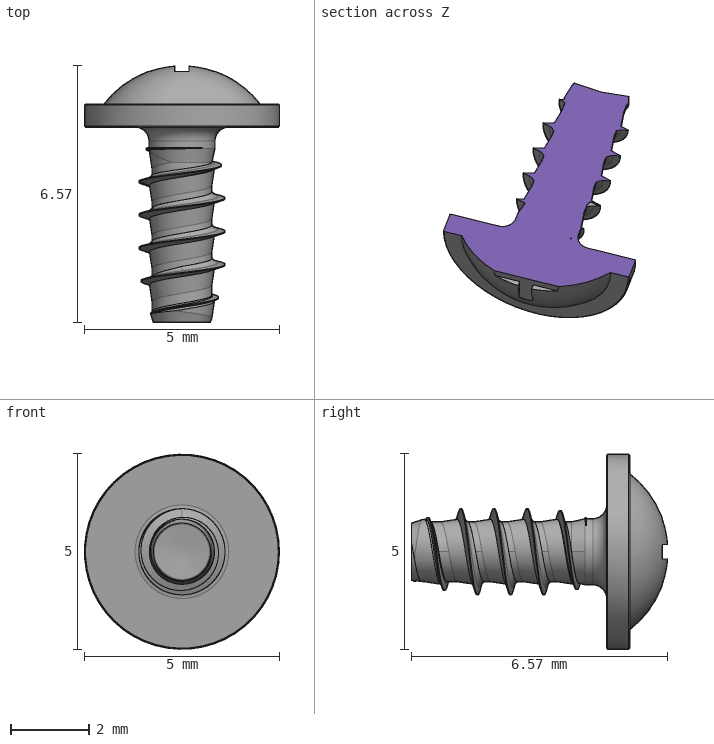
import cadquery as cq
import math


flange_radius = 2.5
flange_thickness = 0.6
flange_edge_chamfer = 0.03
dome_radius = 2.0
dome_height = 0.981
recess_width = 0.36
recess_depth = 0.15

shank_length = 5.0
neck_radius = 0.85
neck_fillet = 0.35
neck_end = 0.545
core_radius = 0.77
core_start = 0.9
tip_radius = 0.735
tip_taper_length = 0.3
tip_hollow_radius = 0.71
tip_hollow_depth = 0.07

pitch = 0.85
crest_radius = 1.105
crest_width = 0.025
leading_flank_radius = 0.92
leading_flank_offset = 0.055
leading_foot_offset = 0.185
leading_root_bulge = 0.02
trailing_foot_offset = 0.118
foot_embedment = 0.01
seat_embedment = 0.1
ridge_foot_radius = core_radius - foot_embedment
ridge_seat_radius = core_radius - seat_embedment

swell_start_offset = 0.1
swell_peak_radius = 0.835
swell_peak_offset = 0.09
swell_end_offset = 0.585
swell_lead_turns = 0.25

entry_angle = 180.0
onset_turns = 0.4
entry_turns = 1.0
full_turns = 2.75
onset_rise = 0.02
onset_crest_radius = 0.84
entry_crest_radius = 0.925
exit_crest_radius = core_radius
full_start = neck_end + pitch * entry_turns
exit_start = full_start + pitch * full_turns
exit_rise = shank_length - exit_start


def make_head():
    """Flange with broken edges and a spherical dome, revolved about the axis."""
    sphere_radius = (dome_radius**2 + dome_height**2) / (2 * dome_height)
    half_angle = math.asin(dome_radius / sphere_radius) / 2
    sphere_center = sphere_radius - flange_thickness - dome_height
    dome_middle = (
        sphere_radius * math.sin(half_angle),
        sphere_center - sphere_radius * math.cos(half_angle),
    )
    flange = (
        cq.Workplane("XY")
        .workplane(offset=-flange_thickness)
        .circle(flange_radius)
        .extrude(flange_thickness)
        .edges()
        .chamfer(flange_edge_chamfer)
    )
    dome = (
        cq.Workplane("XZ")
        .moveTo(0, -flange_thickness - dome_height)
        .threePointArc(dome_middle, (dome_radius, -flange_thickness))
        .lineTo(dome_radius, -flange_thickness / 2)
        .lineTo(0, -flange_thickness / 2)
        .close()
        .revolve(360, (0, 0), (0, 1))
    )
    return flange.union(dome)


def make_recess():
    """Flat-floored cross recess that runs out through the crown of the dome."""
    floor = -flange_thickness - dome_height + recess_depth
    recess = cq.Workplane("XY")
    for length, width in ((2 * dome_radius, recess_width), (recess_width, 2 * dome_radius)):
        arm = (
            cq.Workplane("XY")
            .workplane(offset=floor)
            .rect(length, width)
            .extrude(-dome_height)
        )
        recess = recess.add(arm)
    return recess.combine()


def make_shank():
    """Filleted neck, tapered transition, cylindrical core and slightly tapered tip."""
    diagonal = neck_fillet * (1 - math.sqrt(0.5))
    return (
        cq.Workplane("XZ")
        .moveTo(0, -flange_thickness / 2)
        .lineTo(neck_radius + neck_fillet, -flange_thickness / 2)
        .lineTo(neck_radius + neck_fillet, 0)
        .threePointArc((neck_radius + diagonal, diagonal), (neck_radius, neck_fillet))
        .lineTo(neck_radius, neck_end)
        .lineTo(core_radius, core_start)
        .lineTo(core_radius, shank_length - tip_taper_length)
        .lineTo(tip_radius, shank_length)
        .lineTo(0, shank_length)
        .close()
        .revolve(360, (0, 0), (0, 1))
    )


def make_tip_trim():
    """Space outside the tip cone and beyond the end face, where the thread is cut away."""
    taper_start = shank_length - tip_taper_length
    return (
        cq.Workplane("XZ")
        .moveTo(swell_peak_radius, taper_start)
        .lineTo(tip_radius, shank_length)
        .lineTo(0, shank_length)
        .lineTo(0, shank_length + pitch)
        .lineTo(crest_radius, shank_length + pitch)
        .lineTo(crest_radius, shank_length)
        .close()
        .revolve(360, (0, 0), (0, 1))
    )


def make_tip_hollow():
    """Shallow cone that dishes the end face of the tip."""
    return (
        cq.Workplane("XZ")
        .moveTo(0, shank_length - tip_hollow_depth)
        .lineTo(tip_hollow_radius, shank_length)
        .lineTo(0, shank_length)
        .close()
        .revolve(360, (0, 0), (0, 1))
    )


def sweep_helix(profile, radius, end_radius, start_turn, start_z, turns, rise):
    """Sweep a profile in the XZ plane along a helix whose radius changes evenly over its rise."""
    helix_pitch = rise / turns
    if radius == end_radius:
        path = cq.Wire.makeHelix(helix_pitch, rise, radius)
    else:
        cone_angle = math.atan2(end_radius - radius, rise)
        slant = 1 / math.cos(cone_angle)
        path = cq.Wire.makeHelix(helix_pitch * slant, rise * slant, radius, angle=math.degrees(cone_angle))
    return (
        profile.sweep(cq.Workplane(path), isFrenet=True)
        .rotate((0, 0, 0), (0, 0, 1), entry_angle + 360 * start_turn)
        .translate((0, 0, start_z))
    )


def make_ridge(start_crest, end_crest, start_turn, start_z, turns, rise):
    """Stretch of thread ridge; its whole section moves in or out with the crest radius."""
    shift = start_crest - crest_radius
    foot = ridge_foot_radius + shift
    seat = ridge_seat_radius + shift
    flank = leading_flank_radius + shift
    root_middle = (
        (foot + flank - leading_root_bulge) / 2,
        leading_root_bulge - (leading_foot_offset + leading_flank_offset) / 2,
    )
    profile = (
        cq.Workplane("XZ")
        .moveTo(seat, -leading_foot_offset)
        .lineTo(foot, -leading_foot_offset)
        .threePointArc(root_middle, (flank, -leading_flank_offset))
        .lineTo(start_crest, -crest_width / 2)
        .lineTo(start_crest, crest_width / 2)
        .lineTo(foot, trailing_foot_offset)
        .lineTo(seat, trailing_foot_offset)
        .close()
    )
    return sweep_helix(profile, start_crest, end_crest, start_turn, start_z, turns, rise)


def make_swell():
    """Wedge that follows the thread at a constant height from the neck to past the tip."""
    profile = (
        cq.Workplane("XZ")
        .moveTo(ridge_seat_radius, -swell_start_offset)
        .lineTo(ridge_foot_radius, -swell_start_offset)
        .lineTo(swell_peak_radius, swell_peak_offset)
        .lineTo(ridge_foot_radius, swell_end_offset)
        .lineTo(ridge_seat_radius, swell_end_offset)
        .close()
    )
    start_z = neck_end - pitch * swell_lead_turns
    rise = shank_length - start_z
    return sweep_helix(
        profile, swell_peak_radius, swell_peak_radius, -swell_lead_turns, start_z, rise / pitch, rise
    )


def make_thread():
    """Swell and the stretches of ridge that rise at the neck, run at full height and fade at the tip."""
    onset = make_ridge(
        onset_crest_radius, entry_crest_radius, -onset_turns, neck_end - onset_rise, onset_turns, onset_rise
    )
    entry = make_ridge(entry_crest_radius, crest_radius, 0, neck_end, entry_turns, pitch * entry_turns)
    full = make_ridge(crest_radius, crest_radius, entry_turns, full_start, full_turns, pitch * full_turns)
    fade = make_ridge(
        crest_radius, exit_crest_radius, entry_turns + full_turns, exit_start, exit_rise / pitch, exit_rise
    )
    return [make_swell(), full, entry, fade, onset]


def make_screw():
    """Join head, shank and thread, trim the thread at the tip and point the tip along -Y."""
    body = make_shank()
    for stretch in make_thread():
        body = body.union(stretch)
    body = body.cut(make_tip_trim()).cut(make_tip_hollow())
    screw = make_head().cut(make_recess()).union(body)
    return screw.rotate((0, 0, 0), (1, 0, 0), 90)


result = make_screw()